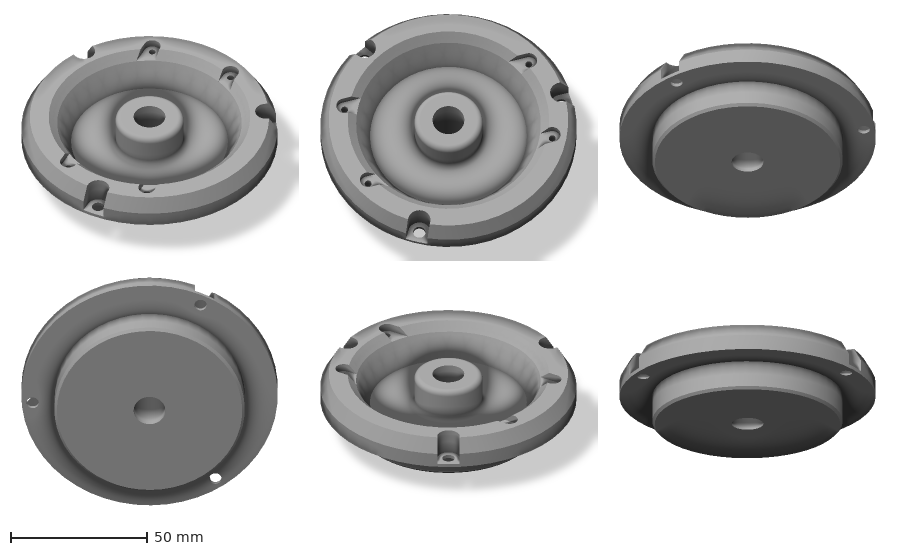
import cadquery as cq

height = 21.5
flange_radius = 47.0
flange_thickness = 10.8
flange_bottom = height - flange_thickness
bevel_height = 5.3
bevel_width = 3.1
spigot_radius = 69.8 / 2
spigot_chamfer = 0.9

rim_radius = 36.9
rim_depth = 3.0
seat_radius = 33.8
floor_radius = 28.8
floor_depth = 12.2
floor_z = height - floor_depth
hub_radius = 25.0 / 2
hub_fillet = 2.0
bore_diameter = 11.7

notch_angles = (30, 150, 270)
notch_width = 8.2
notch_depth = 9.5
mount_hole_diameter = 4.5
mount_hole_radius = 43.0

pocket_x = 16.0
pocket_y = 35.1
pocket_width = 6.1
pocket_depth = rim_depth
screw_hole_diameter = 2.5
screw_hole_depth = 4.7


def make_body():
    """Turned body: spigot, bevelled flange, recess and hub."""
    profile = (
        cq.Workplane("XZ")
        .moveTo(0, 0)
        .lineTo(spigot_radius - spigot_chamfer, 0)
        .lineTo(spigot_radius, spigot_chamfer)
        .lineTo(spigot_radius, flange_bottom)
        .lineTo(flange_radius, flange_bottom)
        .lineTo(flange_radius, height - bevel_height)
        .lineTo(flange_radius - bevel_width, height)
        .lineTo(rim_radius, height)
        .lineTo(seat_radius, height - rim_depth)
        .lineTo(floor_radius, floor_z)
        .lineTo(hub_radius + hub_fillet, floor_z)
        .radiusArc((hub_radius, floor_z + hub_fillet), hub_fillet)
        .lineTo(hub_radius, height - hub_fillet)
        .radiusArc((hub_radius - hub_fillet, height), -hub_fillet)
        .lineTo(0, height)
        .close()
    )
    return profile.revolve(360, (0, 0, 0), (0, 1, 0))


def cylinder(x, y, diameter, bottom, top):
    """Vertical cylinder between two heights."""
    return (
        cq.Workplane("XY", origin=(x, y, bottom))
        .circle(diameter / 2)
        .extrude(top - bottom)
    )


def round_ended_slot(x_end, y_end, y_open, width, bottom):
    """Cutter along Y, up to the top face, with one round end at (x_end, y_end)."""
    length = abs(y_open - y_end)
    straight = (
        cq.Workplane("XY", origin=(x_end, (y_end + y_open) / 2, bottom))
        .rect(width, length)
        .extrude(height - bottom)
    )
    return straight.union(cylinder(x_end, y_end, width, bottom, height))


def mounting_notch(angle):
    """Notch and through hole, at an angle measured from +X."""
    outside = flange_radius + notch_width
    notch = round_ended_slot(0, mount_hole_radius, outside, notch_width, height - notch_depth)
    hole = cylinder(0, mount_hole_radius, mount_hole_diameter, 0, height)
    return notch.union(hole).rotate((0, 0, 0), (0, 0, 1), angle - 90)


def screw_pocket(x_side, y_side):
    """Pocket and blind screw hole in one quadrant."""
    x = x_side * pocket_x
    y = y_side * pocket_y
    bottom = height - pocket_depth
    pocket = round_ended_slot(x, y, y_side * hub_radius, pocket_width, bottom)
    hole = cylinder(x, y, screw_hole_diameter, bottom - screw_hole_depth, height)
    return pocket.union(hole)


result = make_body().cut(cylinder(0, 0, bore_diameter, 0, height))

for notch_angle in notch_angles:
    result = result.cut(mounting_notch(notch_angle))

for side_x in (-1, 1):
    for side_y in (-1, 1):
        result = result.cut(screw_pocket(side_x, side_y))